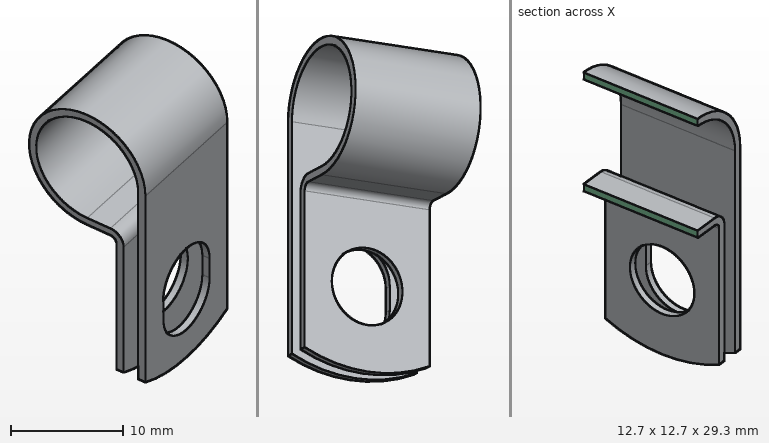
import cadquery as cq
import math

total_height = 29.3
strap_width = 12.7
thickness = 0.8
loop_radius = 6.35
leg_gap = 1.58
bend_inner_radius = 0.67
hole_diameter = 7.15
slot_length = 9.38
hole_drop = 15.03
end_arc_rise = 1.38

bore_radius = loop_radius - thickness
bend_outer_radius = bend_inner_radius + thickness
leg_bottom = loop_radius - total_height
short_leg_outer = bore_radius - leg_gap - thickness
short_leg_inner = short_leg_outer + thickness
bend_x = short_leg_inner - bend_outer_radius
bend_z = -bore_radius - bend_outer_radius
diagonal = math.sqrt(0.5)


def make_strap():
    """Bent strip: long leg, loop, bend and short leg, centred on Y = 0."""
    profile = (
        cq.Workplane("XZ")
        .moveTo(loop_radius, leg_bottom)
        .lineTo(loop_radius, 0)
        .threePointArc((-loop_radius * diagonal, loop_radius * diagonal), (0, -loop_radius))
        .lineTo(bend_x, -loop_radius)
        .threePointArc(
            (bend_x + bend_inner_radius * diagonal, bend_z + bend_inner_radius * diagonal),
            (short_leg_outer, bend_z),
        )
        .lineTo(short_leg_outer, leg_bottom)
        .lineTo(short_leg_inner, leg_bottom)
        .lineTo(short_leg_inner, bend_z)
        .threePointArc(
            (bend_x + bend_outer_radius * diagonal, bend_z + bend_outer_radius * diagonal),
            (bend_x, -bore_radius),
        )
        .lineTo(0, -bore_radius)
        .threePointArc((-bore_radius * diagonal, bore_radius * diagonal), (bore_radius, 0))
        .lineTo(bore_radius, leg_bottom)
        .close()
    )
    return profile.extrude(strap_width / 2, both=True)


def make_end_envelope():
    """Block with a rounded lower edge that trims both leg ends to an arc."""
    half_width = strap_width / 2
    corner_z = leg_bottom + end_arc_rise
    return (
        cq.Workplane("YZ")
        .moveTo(-half_width, loop_radius)
        .lineTo(-half_width, corner_z)
        .threePointArc((0, leg_bottom), (half_width, corner_z))
        .lineTo(half_width, loop_radius)
        .close()
        .extrude(loop_radius, both=True)
    )


def make_bolt_hole():
    """Round hole along X through the short leg."""
    return (
        cq.Workplane("YZ", origin=(0, 0, -hole_drop))
        .circle(hole_diameter / 2)
        .extrude(bore_radius)
    )


def make_bolt_slot():
    """Upright slot through the long leg, level with the round hole."""
    return (
        cq.Workplane("YZ", origin=(bore_radius, 0, -hole_drop))
        .slot2D(slot_length, hole_diameter, angle=90)
        .extrude(thickness)
    )


result = make_strap().intersect(make_end_envelope()).cut(make_bolt_hole()).cut(make_bolt_slot())